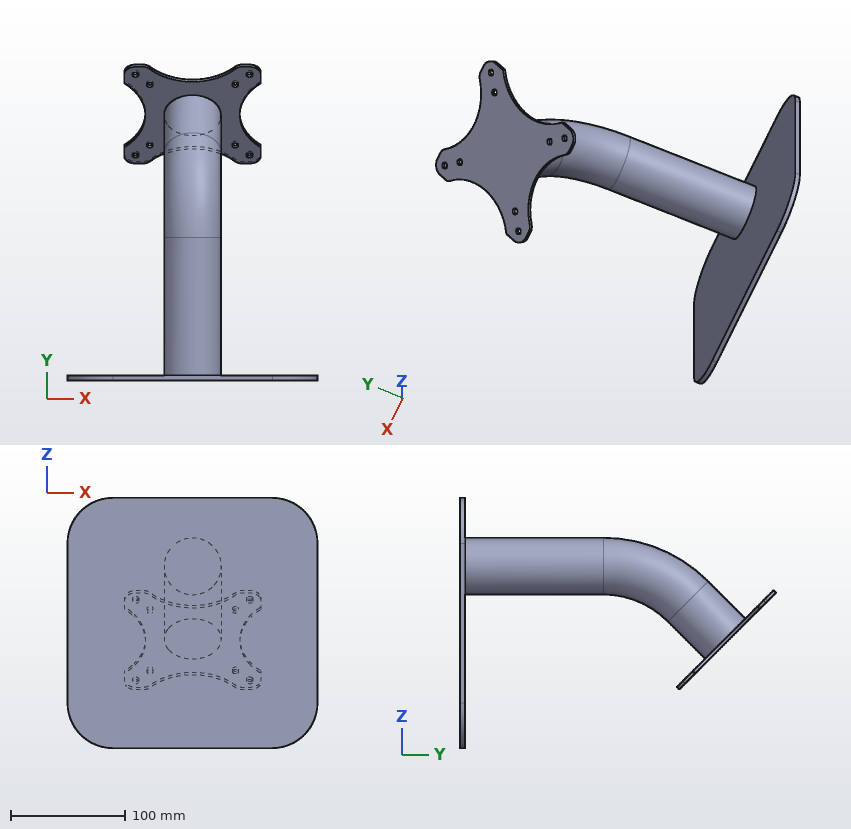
import math

import cadquery as cq

BASE_WIDTH = 219.5
BASE_HEIGHT = 219.75
BASE_THICKNESS = 4.5
BASE_CORNER_RADIUS = 40.0

TUBE_DIAMETER = 50.0
TUBE_AXIS_HEIGHT = 49.9
BASE_RUN = 121.0
BEND_RADIUS = 105.0
BEND_ANGLE = 45.0
PLATE_RUN = 46.5

PLATE_SIZE = 120.0
PLATE_THICKNESS = 3.0
OUTER_HOLE_PITCH = 100.0
INNER_HOLE_PITCH = 75.0
HOLE_DIAMETER = 5.4
SCALLOP_RADIUS = 52.0
WAIST = 82.8
SHOULDER_RADIUS = 8.0
PLATE_CORNER_RADIUS = (PLATE_SIZE - OUTER_HOLE_PITCH) / 2

bend_rad = math.radians(BEND_ANGLE)
axis_y = math.cos(bend_rad)
axis_z = -math.sin(bend_rad)
bend_start_y = BASE_THICKNESS + BASE_RUN


def axis_point_on_bend(angle):
    """(Y, Z) of the tube axis after turning by the angle, in radians."""
    y = bend_start_y + BEND_RADIUS * math.sin(angle)
    z = TUBE_AXIS_HEIGHT - BEND_RADIUS * (1 - math.cos(angle))
    return y, z


bend_middle = axis_point_on_bend(bend_rad / 2)
bend_end = axis_point_on_bend(bend_rad)
tube_end = (bend_end[0] + PLATE_RUN * axis_y, bend_end[1] + PLATE_RUN * axis_z)


def make_base():
    return (
        cq.Workplane("XY")
        .box(BASE_WIDTH, BASE_THICKNESS, BASE_HEIGHT)
        .edges("|Y")
        .fillet(BASE_CORNER_RADIUS)
        .translate((0, BASE_THICKNESS / 2, 0))
    )


def make_tube():
    axis = (
        cq.Workplane("YZ")
        .moveTo(BASE_THICKNESS, TUBE_AXIS_HEIGHT)
        .lineTo(bend_start_y, TUBE_AXIS_HEIGHT)
        .threePointArc(bend_middle, bend_end)
        .lineTo(*tube_end)
    )
    start = cq.Plane(origin=(0, BASE_THICKNESS, TUBE_AXIS_HEIGHT), xDir=(1, 0, 0), normal=(0, 1, 0))
    return cq.Workplane(start).circle(TUBE_DIAMETER / 2).sweep(axis)


def make_plate():
    plane = cq.Plane(origin=(0, *tube_end), xDir=(1, 0, 0), normal=(0, axis_y, axis_z))
    plate = (
        cq.Workplane(plane)
        .sketch()
        .rect(PLATE_SIZE, PLATE_SIZE)
        .vertices()
        .fillet(PLATE_CORNER_RADIUS)
        .finalize()
        .extrude(PLATE_THICKNESS)
    )
    scallop_offset = WAIST / 2 + SCALLOP_RADIUS
    scallops = (
        cq.Workplane(plane)
        .polarArray(scallop_offset, 0, 360, 4)
        .circle(SCALLOP_RADIUS)
        .extrude(PLATE_THICKNESS)
    )
    plate = plate.cut(scallops)

    half_size = PLATE_SIZE / 2
    half_mouth = math.sqrt(SCALLOP_RADIUS**2 - (scallop_offset - half_size) ** 2)
    for side_x in (-1, 1):
        for end in (-1, 1):
            corner = plane.toWorldCoords((side_x * half_mouth, end * half_size, PLATE_THICKNESS / 2))
            nearest = cq.selectors.NearestToPointSelector(corner.toTuple())
            plate = plate.edges(nearest).fillet(SHOULDER_RADIUS)

    for pitch in (INNER_HOLE_PITCH, OUTER_HOLE_PITCH):
        holes = (
            cq.Workplane(plane)
            .rect(pitch, pitch, forConstruction=True)
            .vertices()
            .circle(HOLE_DIAMETER / 2)
            .extrude(PLATE_THICKNESS)
        )
        plate = plate.cut(holes)
    return plate


result = make_base().union(make_tube()).union(make_plate())